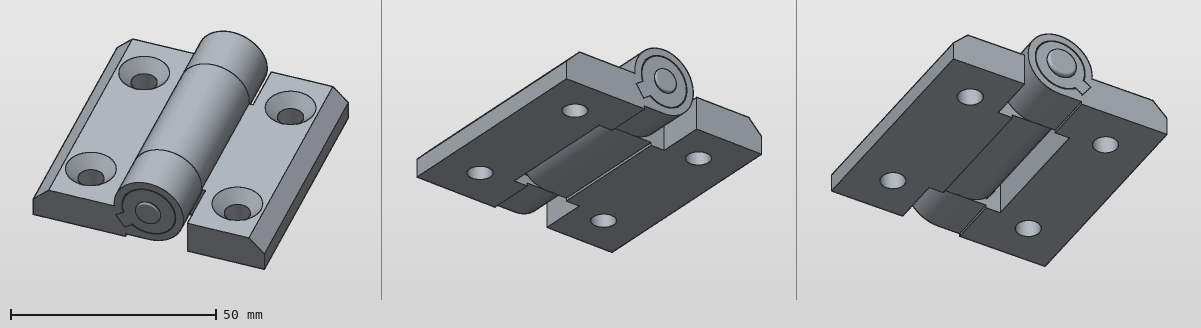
import cadquery as cq

hinge_width = 60.0
hinge_length = 60.0
leaf_thickness = 9.0
leaf_edge_chamfer = 4.0
knuckle_diameter = 18.0
end_knuckle_length = 13.0
knuckle_clearance = 1.0
relief_depth = 0.8
relief_width = 12.0

screw_hole_diameter = 6.4
countersink_diameter = 12.4
countersink_angle = 90.0
screw_offset = 19.0

bush_bore_diameter = 14.0
bush_diameter = 13.6
key_width = 4.0
key_reach = 9.05
key_angle = 215.0

pin_diameter = 5.5
pin_tip_projection = 1.0
pin_head_face_diameter = 6.5
pin_head_thickness = 1.5

knuckle_radius = knuckle_diameter / 2
axis_height = relief_depth + knuckle_radius
half_width = hinge_width / 2
half_length = hinge_length / 2
centre_knuckle_length = hinge_length - 2 * end_knuckle_length
half_centre_knuckle = centre_knuckle_length / 2
slot_edge = knuckle_radius + knuckle_clearance
bush_centres = [side * (half_length - end_knuckle_length / 2) for side in (-1, 1)]


def cylinder_along_y(diameter, start, length):
    """Cylinder on the hinge axis, from Y = start towards +Y."""
    return cq.Workplane(
        cq.Solid.makeCylinder(
            diameter / 2, length, cq.Vector(0, start, axis_height), cq.Vector(0, 1, 0)
        )
    )


def block(x_min, x_max, length, z_min, z_max):
    """Box centred on Y = 0."""
    return cq.Workplane().box(
        x_max - x_min, length, z_max - z_min, centered=(False, True, False)
    ).translate((x_min, 0, z_min))


def key_bar(length, y_centre):
    """Radial bar that keeps a bush from turning in its knuckle."""
    return (
        cq.Workplane()
        .box(key_reach, length, key_width, centered=(False, True, True))
        .rotate((0, 0, 0), (0, 1, 0), -key_angle)
        .translate((0, y_centre, axis_height))
    )


def leaf_plate():
    """Left plate up to the hinge axis, with its chamfer, relief and screw holes."""
    plate = block(-half_width, 0, hinge_length, 0, leaf_thickness)
    plate = plate.edges("<X and >Z").chamfer(leaf_edge_chamfer)
    plate = plate.cut(block(-relief_width / 2, 0, hinge_length, 0, relief_depth))
    return (
        plate.faces(">Z")
        .workplane(origin=(0, 0, 0))
        .pushPoints([(-screw_offset, -screw_offset), (-screw_offset, screw_offset)])
        .cskHole(screw_hole_diameter, countersink_diameter, countersink_angle)
    )


def make_left_leaf():
    """Leaf with a knuckle at each end, bored and notched for the bushes."""
    leaf = leaf_plate().union(cylinder_along_y(knuckle_diameter, -half_length, hinge_length))
    leaf = leaf.cut(block(-slot_edge, slot_edge, centre_knuckle_length, 0, 2 * axis_height))
    leaf = leaf.cut(cylinder_along_y(bush_bore_diameter, -half_length, hinge_length))
    for y_centre in bush_centres:
        leaf = leaf.cut(key_bar(end_knuckle_length, y_centre))
    return leaf


def make_right_leaf():
    """Leaf with the single centre knuckle, bored for the pin."""
    plate = leaf_plate().mirror("YZ")
    plate = plate.cut(block(0, slot_edge, hinge_length, 0, leaf_thickness))
    web = block(0, slot_edge, centre_knuckle_length, 0, leaf_thickness)
    web = web.cut(block(0, relief_width / 2, hinge_length, 0, relief_depth))
    knuckle = cylinder_along_y(knuckle_diameter, -half_centre_knuckle, centre_knuckle_length)
    leaf = plate.union(web).union(knuckle)
    return leaf.cut(cylinder_along_y(pin_diameter, -half_length, hinge_length))


def make_bush(y_centre):
    """Keyed bush that fills an end knuckle and carries the pin."""
    start = y_centre - end_knuckle_length / 2
    bush = cylinder_along_y(bush_diameter, start, end_knuckle_length)
    bush = bush.union(key_bar(end_knuckle_length, y_centre))
    return bush.cut(cylinder_along_y(pin_diameter, start, end_knuckle_length))


def make_pin():
    """Pin with a bulging tip at -Y and a wider bulging head at +Y, turned about the hinge axis."""
    shank_radius = pin_diameter / 2
    tip_bulge = pin_tip_projection / 2
    head_bulge = pin_head_thickness / 2
    head_face_radius = pin_head_face_diameter / 2
    tip_end = -half_length - pin_tip_projection
    head_end = half_length + pin_head_thickness
    half_profile = (
        cq.Workplane()
        .moveTo(0, tip_end)
        .lineTo(shank_radius, tip_end)
        .threePointArc(
            (shank_radius + tip_bulge, -half_length - tip_bulge),
            (shank_radius, -half_length),
        )
        .lineTo(shank_radius, half_length)
        .lineTo(head_face_radius, half_length)
        .threePointArc(
            (head_face_radius + head_bulge, half_length + head_bulge),
            (head_face_radius, head_end),
        )
        .lineTo(0, head_end)
        .close()
    )
    return half_profile.revolve(360, (0, 0), (0, 1)).translate((0, 0, axis_height))


left_leaf = make_left_leaf()
right_leaf = make_right_leaf()
bushes = [make_bush(y_centre) for y_centre in bush_centres]
pin = make_pin()

result = cq.Compound.makeCompound(
    [left_leaf.val(), right_leaf.val(), *[bush.val() for bush in bushes], pin.val()]
)